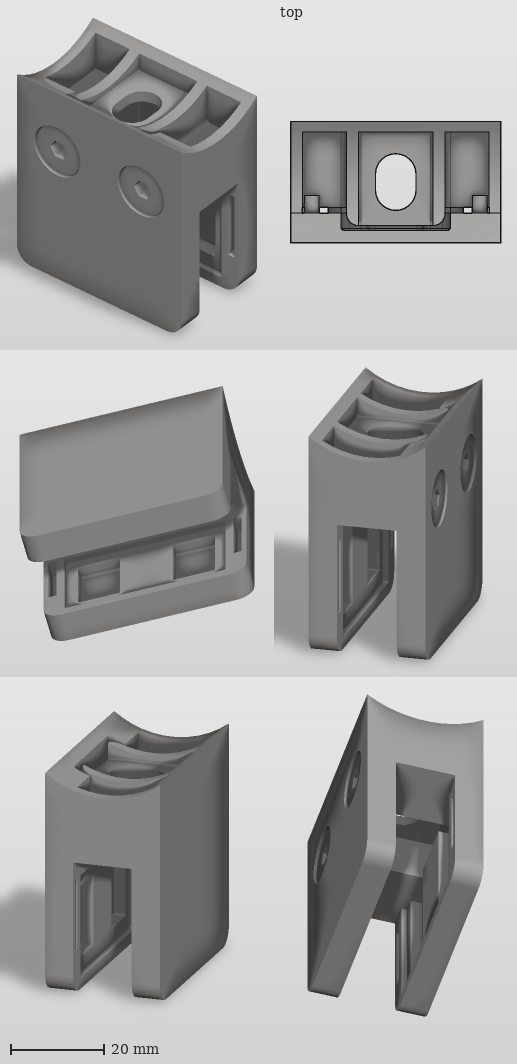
import cadquery as cq
import math

width = 45.0
depth = 26.0
height = 49.45
half_width = width / 2
corner_radius = 4.0

tube_radius = 21.5
tube_center_y = depth / 2
tube_center_z = height + math.sqrt(tube_radius**2 - (depth / 2) ** 2)

jaw_thickness = 6.4
bridge_bottom = 29.9
back_jaw_face = depth - jaw_thickness

back_wall = 2.25
pocket_back = depth - back_wall
side_wall = 2.5
side_floor = 38.3
side_fillet = 1.15
screw_block_gap = 1.25
boss_half_width = 10.55
boss_front = 3.7
boss_corner_radius = 2.45
core_half_width = 7.95
core_floor = 43.55
core_web = 2.7
core_fillet = 0.5
bolt_slot_width = 8.6
bolt_slot_length = 12.05

seat_half_width = 17.85
seat_bottom = 2.55
seat_depth = 1.25
seat_inner_half_width = 15.2
seat_rib_half_width = 5.9
seat_inner_bottom = 6.15
seat_inner_depth = 3.75
seat_edge_chamfer = 0.45
seat_corner_radius = 0.5
lug_slot_x = 20.45
lug_slot_width = 1.8
lug_slot_bottom = 9.5
lug_slot_top = 25.6
lug_slot_depth = 3.45

notch_half_width = 11.65
notch_bottom = 37.6
notch_corner_radius = 1.65
notch_depth = seat_inner_depth
notch_edge_chamfer = seat_edge_chamfer
dip_half_width = 5.95
dip_radius = 1.55

pin_x = 18.0
pin_z = 40.55
pin_root_radius = 1.7
pin_tip_radius = 1.55
pin_length = 3.7

screw_x = 11.45
screw_z = 33.95
head_radius = 6.1
head_sink = 0.6
head_height = 1.8
counterbore_radius = 6.35
shank_radius = 3.0
shank_end = 17.8
hex_flats = 4.0
hex_depth = 3.45

SIDES = (-1, 1)


def box(x0, x1, y0, y1, z0, z1):
    """Box between two opposite corners."""
    return cq.Workplane("XY").box(x1 - x0, y1 - y0, z1 - z0, centered=False).translate((x0, y0, z0))


def rod(radius, x, z, y0, y1):
    """Cylinder along Y."""
    return cq.Workplane("XZ").center(x, z).circle(radius).extrude(y0 - y1).translate((0, y0, 0))


def tube():
    """Handrail tube that the clamp sits against."""
    return (
        cq.Workplane("YZ")
        .center(tube_center_y, tube_center_z)
        .circle(tube_radius)
        .extrude(half_width, both=True)
    )


def jaw(y0):
    """Flat jaw with rounded lower corners, its front face at y0."""
    slab = box(-half_width, half_width, y0, y0 + jaw_thickness, 0, height)
    return slab.edges("|Y and <Z").fillet(corner_radius)


def gasket_seat(top, inner_top):
    """Gasket recess with a deeper pocket each side of a rib, and two lug slots, cut from y = 0 toward +Y."""
    outer = box(-seat_half_width, seat_half_width, 0, seat_depth, seat_bottom, top)
    outer = outer.edges("|Y and <Z").fillet(seat_corner_radius)
    inner = box(
        seat_rib_half_width, seat_inner_half_width, seat_depth, seat_inner_depth, seat_inner_bottom, inner_top
    )
    inner = inner.edges("|Y and <Z and >X").fillet(seat_corner_radius)
    inner = inner.faces(">Y").chamfer(seat_edge_chamfer)
    seat = outer.union(inner).union(inner.mirror("YZ"))
    for side in SIDES:
        x = side * lug_slot_x
        half = lug_slot_width / 2
        seat = seat.union(box(x - half, x + half, 0, lug_slot_depth, lug_slot_bottom, lug_slot_top))
    return seat


def side_pocket():
    """Open pocket beside the boss at +X, with the gap and step in front of its floor."""
    outer_x = half_width - side_wall
    pocket = box(boss_half_width, outer_x, jaw_thickness, pocket_back, side_floor, height)
    pocket = pocket.edges("|Y and <X and <Z").fillet(side_fillet)
    gap_start = boss_half_width + side_fillet
    gap_end = jaw_thickness + screw_block_gap
    gap = box(gap_start, outer_x, jaw_thickness, gap_end, bridge_bottom, height)
    core_step = box(boss_half_width, gap_start, jaw_thickness, gap_end, notch_bottom, height)
    return pocket.union(gap).union(core_step)


def core_cut():
    """Space above and below the bolt web, and the bolt slot through that web."""
    upper = box(-core_half_width, core_half_width, boss_front, pocket_back, core_floor, height)
    upper = upper.edges("|Y and <Z").fillet(core_fillet)
    web_bottom = core_floor - core_web
    lower = box(-core_half_width, core_half_width, boss_front, pocket_back, bridge_bottom, web_bottom)
    lower = lower.edges("|Z and >Y").fillet(core_fillet)
    slot = (
        cq.Workplane("XY", origin=(0, tube_center_y, bridge_bottom))
        .slot2D(bolt_slot_length, bolt_slot_width, 90)
        .extrude(height - bridge_bottom)
    )
    return upper.union(lower).union(slot)


def make_base():
    """Back jaw, bridge and boss."""
    base = jaw(back_jaw_face)
    base = base.union(box(-half_width, half_width, jaw_thickness, back_jaw_face, bridge_bottom, height))
    boss = box(-boss_half_width, boss_half_width, boss_front, pocket_back, side_floor, height)
    boss = boss.edges("|Z and <Y").fillet(boss_corner_radius)
    base = base.union(boss)
    pocket = side_pocket()
    base = base.cut(pocket).cut(pocket.mirror("YZ")).cut(core_cut())
    seat = gasket_seat(bridge_bottom, bridge_bottom)
    base = base.cut(seat.translate((0, back_jaw_face, 0))).cut(tube())
    for side in SIDES:
        base = base.cut(rod(shank_radius, side * screw_x, screw_z, jaw_thickness, shank_end))
    return base


def boss_notch():
    """Clearance for the boss: rounded lower corners and a rounded dip in the middle."""
    shoulder_x = dip_half_width + dip_radius
    dip_x = dip_half_width - dip_radius
    dip_middle = notch_bottom - dip_radius
    dip_bottom = dip_middle - dip_radius
    corner = notch_corner_radius
    bend = math.sqrt(0.5)
    notch = (
        cq.Workplane("XZ")
        .moveTo(0, height)
        .lineTo(0, dip_bottom)
        .lineTo(dip_x, dip_bottom)
        .threePointArc(
            (dip_x + dip_radius * bend, dip_middle - dip_radius * bend), (dip_half_width, dip_middle)
        )
        .threePointArc(
            (shoulder_x - dip_radius * bend, dip_middle + dip_radius * bend), (shoulder_x, notch_bottom)
        )
        .lineTo(notch_half_width - corner, notch_bottom)
        .threePointArc(
            (notch_half_width - corner * (1 - bend), notch_bottom + corner * (1 - bend)),
            (notch_half_width, notch_bottom + corner),
        )
        .lineTo(notch_half_width, height)
        .close()
        .extrude(notch_depth)
    )
    notch = notch.union(notch.mirror("YZ")).clean()
    notch = notch.faces("<Y").chamfer(notch_edge_chamfer)
    return notch.translate((0, jaw_thickness, 0))


def locating_pin(x):
    """Tapered pin standing on the inner face of the cover plate."""
    axis_start = cq.Vector(x, jaw_thickness, pin_z)
    return cq.Workplane(
        cq.Solid.makeCone(pin_root_radius, pin_tip_radius, pin_length, axis_start, cq.Vector(0, 1, 0))
    )


def make_cover():
    """Front jaw plate with counterbored screw holes and locating pins."""
    cover = jaw(0)
    seat_inner_top = lug_slot_top - (seat_inner_bottom - seat_bottom)
    seat = gasket_seat(lug_slot_top, seat_inner_top).mirror("XZ")
    cover = cover.cut(seat.translate((0, jaw_thickness, 0)))
    cover = cover.cut(boss_notch())
    for side in SIDES:
        x = side * screw_x
        cover = cover.union(locating_pin(side * pin_x))
        cover = cover.cut(rod(counterbore_radius, x, screw_z, 0, head_sink + head_height))
        cover = cover.cut(rod(shank_radius, x, screw_z, 0, jaw_thickness))
    return cover.cut(tube())


def make_screw(x):
    """Cap screw with a hexagon socket."""
    head_end = head_sink + head_height
    screw = rod(head_radius, x, screw_z, head_sink, head_end)
    screw = screw.union(rod(shank_radius, x, screw_z, head_end, shank_end))
    hex_corners = hex_flats / math.cos(math.pi / 6)
    socket = (
        cq.Workplane("XZ", origin=(0, head_sink, 0))
        .center(x, screw_z)
        .polygon(6, hex_corners)
        .extrude(-hex_depth)
    )
    return screw.cut(socket)


base = make_base().solids()
cover = make_cover().solids()
screws = [make_screw(side * screw_x).solids() for side in SIDES]

result = cq.Compound.makeCompound([base.val(), cover.val(), *[screw.val() for screw in screws]])